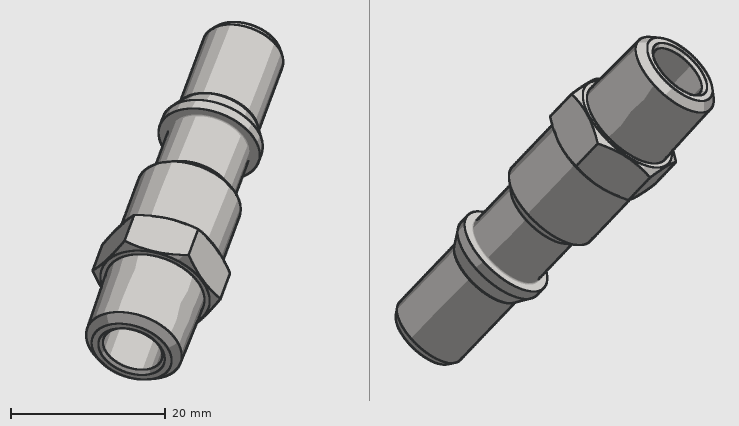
import cadquery as cq
import math

length = 53.5
hex_start = 11.0
hex_end = 17.0
body_end = 27.0
groove_start = 28.45
collar_start = 36.5
collar_end = 38.0
tip_start = 40.4

thread_end_radius = 6.5
thread_root_radius = 6.7
body_radius = 7.0
groove_radius = 5.55
groove_fillet = 0.3
collar_radius = 6.85
collar_cone_radius = 5.55
tip_radius = 5.45
bore_radius = 4.0

across_flats = 15.0
hex_face_radius = 7.4
hex_chamfer_angle = 30.0
thread_chamfer = 1.05
tip_chamfer_length = 1.0
tip_chamfer_depth = 0.6
countersink = 0.5


def revolve_profile(points):
    """Turn a closed (radius, y) outline about the Y axis."""
    return cq.Workplane("XY").polyline(points).close().revolve(360, (0, 0), (0, 1))


def turned_body():
    """Stepped outside, with a fillet where the groove meets the collar."""
    body = revolve_profile([
        (0, 0),
        (thread_end_radius - thread_chamfer, 0),
        (thread_end_radius, thread_chamfer),
        (thread_root_radius, hex_start),
        (body_radius, hex_start),
        (body_radius, body_end),
        (groove_radius, groove_start),
        (groove_radius, collar_start),
        (collar_radius, collar_start),
        (collar_radius, collar_end),
        (collar_cone_radius, tip_start),
        (tip_radius, tip_start),
        (tip_radius, length - tip_chamfer_length),
        (tip_radius - tip_chamfer_depth, length),
        (0, length),
    ])
    reach = groove_radius + groove_fillet
    corner_box = cq.selectors.BoxSelector(
        (-reach, collar_start - groove_fillet, -reach),
        (reach, collar_start + groove_fillet, reach),
        boundingbox=True,
    )
    return body.edges(corner_box).fillet(groove_fillet)


def hexagon():
    """Hexagon with corners on X and both end faces chamfered conically."""
    corner_radius = across_flats / math.sqrt(3)
    chamfer_length = (corner_radius - hex_face_radius) * math.tan(math.radians(hex_chamfer_angle))
    prism = (
        cq.Workplane("XZ", origin=(0, hex_end, 0))
        .polygon(6, 2 * corner_radius)
        .extrude(hex_end - hex_start)
    )
    envelope = revolve_profile([
        (0, hex_start),
        (hex_face_radius, hex_start),
        (corner_radius, hex_start + chamfer_length),
        (corner_radius, hex_end - chamfer_length),
        (hex_face_radius, hex_end),
        (0, hex_end),
    ])
    return prism.intersect(envelope)


def bore():
    """Through bore, countersunk at the threaded end."""
    return revolve_profile([
        (0, 0),
        (bore_radius + countersink, 0),
        (bore_radius, countersink),
        (bore_radius, length),
        (0, length),
    ])


result = turned_body().union(hexagon()).cut(bore())